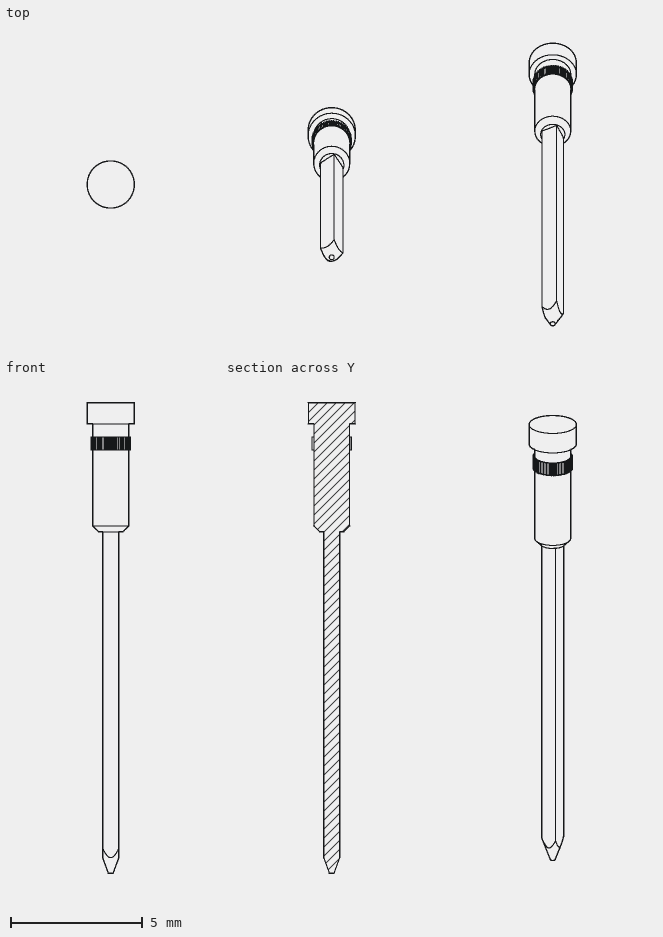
import cadquery as cq
import math

TOTAL_LENGTH = 17.85

HEAD_DIAMETER = 1.8
HEAD_HEIGHT = 0.8
BODY_DIAMETER = 1.37
BODY_END_DIAMETER = 0.92
BODY_TAPER_HEIGHT = 0.22
BODY_HEIGHT = 4.1

KNURL_DIAMETER = 1.5
KNURL_HEIGHT = 0.5
KNURL_NECK = 0.5
TOOTH_COUNT = 72

PIN_WIDTH = 0.62
TIP_DIAMETER = 0.19
TIP_HALF_ANGLE = 20.0

HEAD_BOTTOM = TOTAL_LENGTH - HEAD_HEIGHT
BODY_BOTTOM = HEAD_BOTTOM - BODY_HEIGHT
TAPER_TOP = BODY_BOTTOM + BODY_TAPER_HEIGHT
KNURL_BOTTOM = HEAD_BOTTOM - KNURL_NECK - KNURL_HEIGHT


def make_head_and_body():
    """Turned head and body with a tapered lower end."""
    profile = [
        (0, BODY_BOTTOM),
        (BODY_END_DIAMETER / 2, BODY_BOTTOM),
        (BODY_DIAMETER / 2, TAPER_TOP),
        (BODY_DIAMETER / 2, HEAD_BOTTOM),
        (HEAD_DIAMETER / 2, HEAD_BOTTOM),
        (HEAD_DIAMETER / 2, TOTAL_LENGTH),
        (0, TOTAL_LENGTH),
    ]
    return cq.Workplane("XZ").polyline(profile).close().revolve(360, (0, 0), (0, 1))


def make_knurl():
    """Straight-toothed band: crests on the knurl diameter, roots on the body diameter."""
    half_pitch = math.pi / TOOTH_COUNT
    outline = []
    for i in range(2 * TOOTH_COUNT):
        radius = (BODY_DIAMETER if i % 2 == 0 else KNURL_DIAMETER) / 2
        angle = i * half_pitch
        outline.append((radius * math.cos(angle), radius * math.sin(angle)))
    return cq.Workplane("XY").workplane(offset=KNURL_BOTTOM).polyline(outline).close().extrude(KNURL_HEIGHT)


def make_pin():
    """Square pin whose lower end is turned to a blunt cone."""
    half_diagonal = PIN_WIDTH / math.sqrt(2)
    cone_height = (half_diagonal - TIP_DIAMETER / 2) / math.tan(math.radians(TIP_HALF_ANGLE))
    envelope_profile = [
        (0, 0),
        (TIP_DIAMETER / 2, 0),
        (half_diagonal, cone_height),
        (HEAD_DIAMETER / 2, cone_height),
        (HEAD_DIAMETER / 2, TAPER_TOP),
        (0, TAPER_TOP),
    ]
    envelope = cq.Workplane("XZ").polyline(envelope_profile).close().revolve(360, (0, 0), (0, 1))
    bar = cq.Workplane("XY").rect(PIN_WIDTH, PIN_WIDTH).extrude(TAPER_TOP)
    return bar.intersect(envelope)


result = make_head_and_body().union(make_knurl()).union(make_pin())